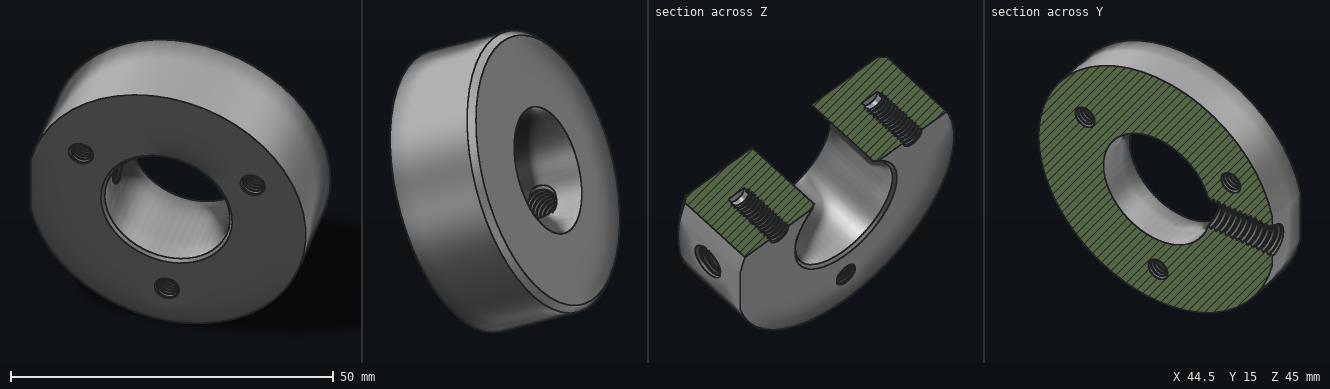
import cadquery as cq
import math

outer_diameter = 45.0
width = 15.0
rim_chamfer = 1.0
bore_diameter = 20.2
bore_chamfer = 0.5
flat_distance = 22.0

face_hole_count = 3
face_hole_circle_radius = 16.0
first_face_hole_angle = -90.0
face_hole_depth = 10.0
face_thread_diameter = 4.0
face_thread_pitch = 0.7
face_countersink = 0.3

screw_thread_diameter = 6.0
screw_thread_pitch = 1.0
screw_countersink = 0.45

thread_height_ratio = math.sqrt(3) / 2
thread_depth_ratio = 5 / 8 * thread_height_ratio
root_width_ratio = 1 / 8
half_flank_angle = math.radians(30)
cutter_overlap = 0.05


def make_collar():
    radius = outer_diameter / 2
    blank = cq.Workplane("XZ").circle(radius).extrude(-width)
    blank = blank.faces(">Y").edges().chamfer(rim_chamfer)
    bore = cq.Workplane("XZ").circle(bore_diameter / 2).extrude(-width)
    bore_cone = cq.Solid.makeCone(
        bore_diameter / 2 + bore_chamfer,
        bore_diameter / 2,
        bore_chamfer,
        pnt=cq.Vector(0, 0, 0),
        dir=cq.Vector(0, 1, 0),
    )
    flat_cutter = cq.Workplane("XY").box(radius, 2 * width, outer_diameter)
    flat_cutter = flat_cutter.translate((-flat_distance - radius / 2, width / 2, 0))
    return blank.cut(bore).cut(cq.Workplane(bore_cone)).cut(flat_cutter)


def make_thread_groove(major_diameter, pitch, length):
    """Solid of a helical V groove about +Z, starting at z = 0."""
    root_radius = major_diameter / 2
    inner_radius = root_radius - thread_depth_ratio * pitch - cutter_overlap
    root_half = root_width_ratio * pitch / 2
    mouth_half = root_half + (root_radius - inner_radius) * math.tan(half_flank_angle)
    helix = cq.Wire.makeHelix(pitch, length, inner_radius)
    profile = cq.Workplane("XZ").polyline(
        [
            (inner_radius, -mouth_half),
            (root_radius, -root_half),
            (root_radius, root_half),
            (inner_radius, mouth_half),
        ]
    ).close()
    return profile.sweep(cq.Workplane(helix), isFrenet=True).val()


def cut_threaded_hole(
    body, mouth, direction, start_side, diameter, pitch, depth, thread_length, countersink_size
):
    """Cut a threaded, countersunk hole; start_side turns the thread about the hole axis."""
    minor_radius = diameter / 2 - thread_depth_ratio * pitch
    plane = cq.Plane(origin=mouth, xDir=start_side, normal=direction)
    hole = cq.Workplane(plane).circle(minor_radius).extrude(depth)
    groove = make_thread_groove(diameter, pitch, thread_length + pitch)
    groove = groove.translate(cq.Vector(0, 0, -pitch)).moved(cq.Location(plane))
    countersink = cq.Solid.makeCone(
        minor_radius + countersink_size,
        minor_radius,
        countersink_size,
        pnt=cq.Vector(mouth),
        dir=cq.Vector(direction),
    )
    return body.cut(cq.Workplane(groove)).cut(hole).cut(cq.Workplane(countersink))


def cut_face_holes(body):
    for index in range(face_hole_count):
        angle = math.radians(first_face_hole_angle + index * 360 / face_hole_count)
        mouth = (
            face_hole_circle_radius * math.cos(angle),
            0,
            face_hole_circle_radius * math.sin(angle),
        )
        body = cut_threaded_hole(
            body,
            mouth,
            direction=(0, 1, 0),
            start_side=(0, 0, 1),
            diameter=face_thread_diameter,
            pitch=face_thread_pitch,
            depth=face_hole_depth,
            thread_length=face_hole_depth - face_thread_pitch,
            countersink_size=face_countersink,
        )
    return body


def cut_screw_hole(body):
    wall_thickness = flat_distance - bore_diameter / 2
    return cut_threaded_hole(
        body,
        mouth=(-flat_distance, width / 2, 0),
        direction=(1, 0, 0),
        start_side=(0, 1, 0),
        diameter=screw_thread_diameter,
        pitch=screw_thread_pitch,
        depth=flat_distance,
        thread_length=wall_thickness + 2 * screw_thread_pitch,
        countersink_size=screw_countersink,
    )


collar = make_collar()
collar = cut_face_holes(collar)
result = cut_screw_hole(collar).solids()